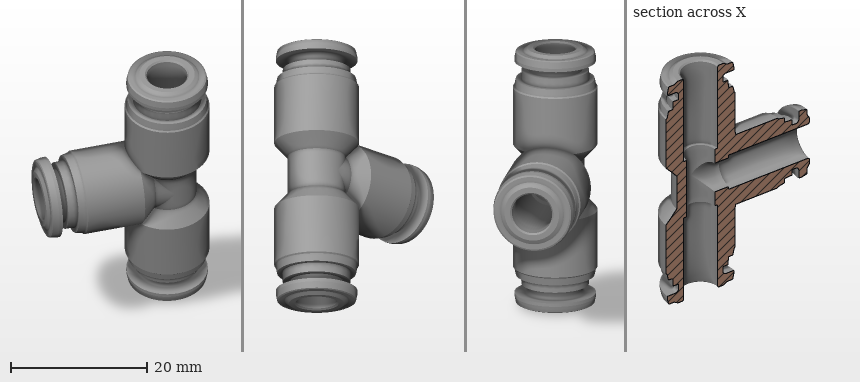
import cadquery as cq
import math

run_length = 39.5
branch_reach = 19.5

waist_radius = 4.3
body_radius = 12.5 / 2
waist_end = 2.9
body_start = 5.05
body_end = 13.75

cap_base_radius = 6.05
cap_top_radius = 5.8
cap_base = 13.95
cap_end = 15.05
collar_base_radius = 5.05
collar_top_radius = 4.98
collar_end = 16.45

neck_radius = 8.0 / 2
neck_fillet = 0.5
flange_radius = 12.0 / 2
flange_rim_radius = 5.8
flange_face_radius = 5.55
nose_base_radius = 4.75
nose_tip_radius = 4.05
flange_back_depth = 1.98
flange_taper_depth = 1.45
flange_rim_depth = 0.5
nose_depth = 0.4

passage_radius = 5.0 / 2
socket_radius = 6.0 / 2
socket_mouth_radius = 3.25
socket_chamfer = socket_mouth_radius - socket_radius
socket_floor = body_start


def revolve_about_z(profile):
    return profile.close().revolve(360, (0, 0, 0), (0, 1, 0))


def make_arm(tip):
    """Outer solid of one arm, pointing along +Z from the origin."""
    flange_back = tip - flange_back_depth
    fillet_mid_radius = neck_radius + neck_fillet * (1 - math.sqrt(0.5))
    fillet_mid = flange_back - neck_fillet * (1 - math.sqrt(0.5))
    profile = (
        cq.Workplane("XZ")
        .lineTo(waist_radius, 0)
        .lineTo(waist_radius, waist_end)
        .lineTo(body_radius, body_start)
        .lineTo(body_radius, body_end)
        .lineTo(cap_base_radius, cap_base)
        .lineTo(cap_top_radius, cap_end)
        .lineTo(collar_base_radius, cap_end)
        .lineTo(collar_top_radius, collar_end)
        .lineTo(neck_radius, collar_end)
        .lineTo(neck_radius, flange_back - neck_fillet)
        .threePointArc((fillet_mid_radius, fillet_mid), (neck_radius + neck_fillet, flange_back))
        .lineTo(flange_radius, flange_back)
        .lineTo(flange_radius, tip - flange_taper_depth)
        .lineTo(flange_rim_radius, tip - flange_rim_depth)
        .lineTo(flange_face_radius, tip - nose_depth)
        .lineTo(nose_base_radius, tip - nose_depth)
        .lineTo(nose_tip_radius, tip)
        .lineTo(0, tip)
    )
    return revolve_about_z(profile)


def make_bore(tip):
    """Passage, tube socket and chamfered mouth of one arm, along +Z."""
    profile = (
        cq.Workplane("XZ")
        .lineTo(passage_radius, 0)
        .lineTo(passage_radius, socket_floor)
        .lineTo(socket_radius, socket_floor)
        .lineTo(socket_radius, tip - socket_chamfer)
        .lineTo(socket_mouth_radius, tip)
        .lineTo(0, tip)
    )
    return revolve_about_z(profile)


arms = [
    (run_length / 2, 0),
    (run_length / 2, 180),
    (branch_reach, 90),
]

result = cq.Workplane("XY")
for tip, angle in arms:
    result = result.union(make_arm(tip).rotate((0, 0, 0), (1, 0, 0), angle))
for tip, angle in arms:
    result = result.cut(make_bore(tip).rotate((0, 0, 0), (1, 0, 0), angle))